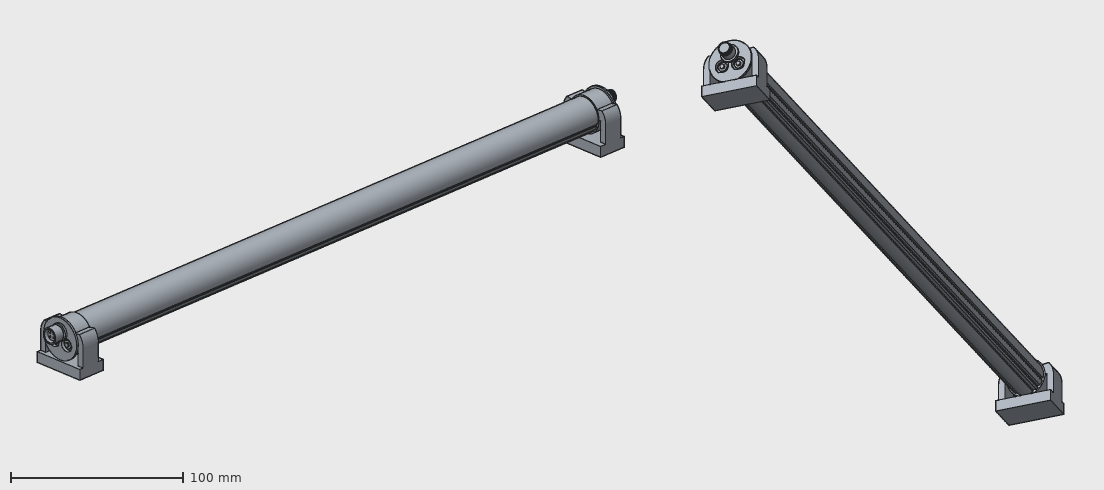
import cadquery as cq
import math

total_length = 464.0
end_y = total_length / 2
axis_height = 20.5

tube_radius = 11.0
tube_length = 418.5
tube_end_y = tube_length / 2
groove_heights = (17.0, 13.0, 10.5)
groove_width = 1.5
groove_depth = 1.0

barrel_radius = 12.0
flange_radius = 13.5
flange_thickness = 1.5
flange_face_y = 223.0

connector_height = 25.0
collar_radius = 5.5
collar_thickness = 1.5
neck_radius = 4.0
nut_radius = 5.0
nut_length = 6.5
nut_bore_radius = 4.0
nut_bore_depth = 5.5
core_radius = 3.2
core_recess = 2.0
contact_radius = 0.5
contact_circle_radius = 2.0
contact_count = 4
plug_length = 3.0
thread_crest_radius = 3.5
thread_root_radius = 3.2
thread_groove_count = 3
socket_radius = 4.0
socket_offset_x = 5.0
socket_height = 18.0
socket_depth = 2.5
insert_radius = 3.0
insert_length = 1.5
pin_radius = 1.5

bracket_width = 35.0
base_height = 7.0
base_outer_y = 224.5
base_inner_y = 205.0
arm_outer_y = flange_face_y - flange_thickness
arm_inner_y = tube_end_y
arm_gap = 26.5
arm_top = 27.5
shoulder_radius = 11.5
shoulder_height = 19.5
lip_x = 10.0


def cylinder_y(radius, start, stop, x=0.0, z=axis_height):
    """Round bar parallel to Y between two Y positions."""
    return (
        cq.Workplane("XZ", origin=(x, start, z))
        .circle(radius)
        .extrude(start - stop)
    )


def make_tube():
    """Round bar with lengthwise grooves on both sides of its lower half."""
    tube = cylinder_y(tube_radius, -tube_end_y, tube_end_y)
    for height in groove_heights:
        surface_x = math.sqrt(tube_radius**2 - (height - axis_height) ** 2)
        groove_centre_x = surface_x - groove_depth + tube_radius / 2
        for side in (-1, 1):
            groove = cq.Workplane("XY").box(tube_radius, tube_length, groove_width)
            tube = tube.cut(groove.translate((side * groove_centre_x, 0, height)))
    return tube


def make_blank_cap():
    """Barrel and flange at the +Y end, with two plug sockets in the flange face."""
    cap = cylinder_y(barrel_radius, tube_end_y, flange_face_y)
    cap = cap.union(cylinder_y(flange_radius, flange_face_y - flange_thickness, flange_face_y))
    floor_y = flange_face_y - socket_depth
    for x in (-socket_offset_x, socket_offset_x):
        cap = cap.cut(cylinder_y(socket_radius, floor_y, flange_face_y, x, socket_height))
        cap = cap.union(cylinder_y(insert_radius, floor_y, floor_y + insert_length, x, socket_height))
        cap = cap.union(cylinder_y(pin_radius, floor_y, flange_face_y, x, socket_height))
    collar_end = flange_face_y + collar_thickness
    return cap.union(cylinder_y(collar_radius, flange_face_y, collar_end, 0, connector_height))


def make_nut_cap():
    """Cap whose connector carries a round coupling nut around a contact core; belongs at the -Y end."""
    cap = make_blank_cap()
    nut_start = end_y - nut_length
    cap = cap.union(cylinder_y(neck_radius, flange_face_y, nut_start, 0, connector_height))
    cap = cap.union(cylinder_y(nut_radius, nut_start, end_y, 0, connector_height))
    bore_floor = end_y - nut_bore_depth
    core_end = end_y - core_recess
    cap = cap.cut(cylinder_y(nut_bore_radius, bore_floor, end_y, 0, connector_height))
    cap = cap.union(cylinder_y(core_radius, bore_floor, core_end, 0, connector_height))
    for index in range(contact_count):
        angle = 2 * math.pi * (index + 0.5) / contact_count
        contact_x = contact_circle_radius * math.cos(angle)
        contact_z = connector_height + contact_circle_radius * math.sin(angle)
        cap = cap.cut(cylinder_y(contact_radius, bore_floor, core_end, contact_x, contact_z))
    return cap.mirror("XZ")


def make_threaded_cap():
    """Cap whose connector ends in a grooved plug; belongs at the +Y end."""
    cap = make_blank_cap()
    plug_start = end_y - plug_length
    cap = cap.union(cylinder_y(neck_radius, flange_face_y, plug_start, 0, connector_height))
    cap = cap.union(cylinder_y(thread_root_radius, plug_start, end_y, 0, connector_height))
    ridge_width = plug_length / (2 * thread_groove_count + 1)
    for index in range(thread_groove_count + 1):
        ridge_end = end_y - 2 * index * ridge_width
        cap = cap.union(
            cylinder_y(thread_crest_radius, ridge_end - ridge_width, ridge_end, 0, connector_height)
        )
    return cap


def make_bracket(side):
    """Foot with two arms that snap around the cap barrel; side is +1 or -1 along Y."""
    half_width = bracket_width / 2
    shoulder_x = half_width - shoulder_radius

    def shoulder_point(z):
        """Point of the rounded outer shoulder at the given height."""
        return shoulder_x + math.sqrt(shoulder_radius**2 - (z - shoulder_height) ** 2), z

    base = (
        cq.Workplane("XY")
        .box(bracket_width, base_outer_y - base_inner_y, base_height, centered=(True, True, False))
        .translate((0, (base_outer_y + base_inner_y) / 2, 0))
    )
    lip_height = axis_height + math.sqrt(barrel_radius**2 - lip_x**2)
    arm = (
        cq.Workplane("XZ", origin=(0, arm_inner_y, 0))
        .moveTo(arm_gap / 2, base_height)
        .lineTo(half_width, base_height)
        .lineTo(half_width, shoulder_height)
        .threePointArc(shoulder_point((shoulder_height + arm_top) / 2), shoulder_point(arm_top))
        .lineTo(lip_x, lip_height)
        .lineTo(barrel_radius, axis_height)
        .lineTo(arm_gap / 2, axis_height)
        .close()
        .extrude(arm_inner_y - arm_outer_y)
        .cut(cylinder_y(barrel_radius, arm_inner_y, arm_outer_y))
    )
    bracket = base.union(arm).union(arm.mirror("YZ"))
    return bracket if side > 0 else bracket.mirror("XZ")


tube = make_tube()
nut_cap = make_nut_cap()
threaded_cap = make_threaded_cap()
brackets = [make_bracket(side) for side in (-1, 1)]

result = cq.Compound.makeCompound(
    [tube.val(), nut_cap.val(), threaded_cap.val(), *[bracket.val() for bracket in brackets]]
)